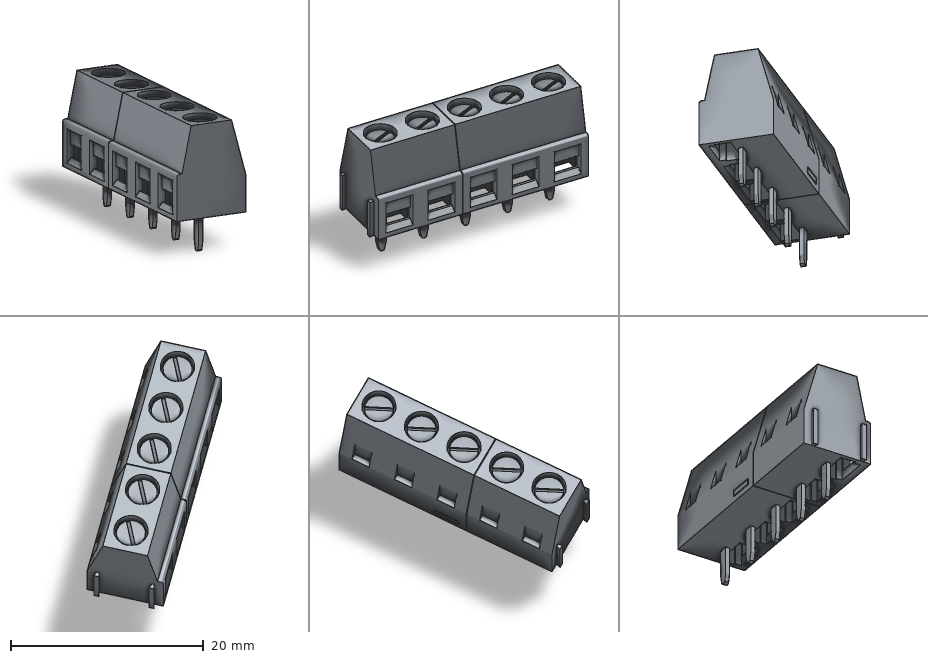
import cadquery as cq


pitch = 5.0
small_block_poles = 2
large_block_poles = 3
joint_gap = 0.08

depth = 8.13
height = 10.1
ledge_height = 5.05
ledge_depth = 0.6
ledge_radius = 0.3
top_front_y = 1.68
top_rear_y = 6.45
rear_slope_start = 4.0

window_width = 3.15
window_bottom = 0.54
window_top = 4.23
window_recess = 0.43
sill_chamfer = 0.54
sill_height = window_bottom + sill_chamfer
sill_depth = 0.85

chamber_height = 2.55
chamber_entry_width = 3.57
chamber_entry_end = 1.53
chamber_width = 4.0
chamber_end = 3.32

screw_y = (top_front_y + top_rear_y) / 2
well_radius = 1.75
well_depth = 1.53
screw_radius = 1.5
screw_drop = 0.6
screw_slot_width = 0.35
screw_slot_depth = 0.25
screw_slot_angle = 25

notch_width = 2.01
notch_depth = 0.65

rib_reach = 0.5
rib_tip_width = 0.54
rib_root_width = 0.28
rib_height = window_top
rib_centres_y = [1.12, 7.0]

pad_width = 2.83
pad_height = 0.66
pad_thickness = 0.08
pad_offset = 0.08
pad_centre_z = 1.0

pin_width = 1.0
pin_thickness = 0.48
pin_y = 3.9
pin_length = 4.2
pin_taper_start = 3.1
pin_tip_start = 4.03
pin_tip_width = 0.59


def pole_centre(pole):
    return (pole + 0.5) * pitch


def box(x_centre, width, y_start, y_end, z_start, z_end):
    return (
        cq.Workplane("XY")
        .box(width, y_end - y_start, z_end - z_start, centered=(True, False, False))
        .translate((x_centre, y_start, z_start))
    )


def housing_body(x_start, x_end):
    return (
        cq.Workplane("YZ", origin=(x_start, 0, 0))
        .lineTo(depth, 0)
        .lineTo(depth, rear_slope_start)
        .lineTo(top_rear_y, height)
        .lineTo(top_front_y, height)
        .lineTo(ledge_depth, ledge_height)
        .lineTo(ledge_radius, ledge_height)
        .radiusArc((0, ledge_height - ledge_radius), -ledge_radius)
        .close()
        .extrude(x_end - x_start)
    )


def wire_entry(x):
    passage = (
        cq.Workplane("YZ", origin=(x - window_width / 2, 0, 0))
        .moveTo(0, window_bottom)
        .lineTo(sill_chamfer, sill_height)
        .lineTo(sill_depth, sill_height)
        .lineTo(sill_depth, chamber_height)
        .lineTo(window_recess, chamber_height)
        .lineTo(window_recess, window_top)
        .lineTo(0, window_top)
        .close()
        .extrude(window_width)
    )
    chamber_entry = box(x, chamber_entry_width, sill_depth, chamber_entry_end, 0, chamber_height)
    chamber = box(x, chamber_width, chamber_entry_end, chamber_end, 0, chamber_height)
    return passage.union(chamber_entry).union(chamber)


def screw_well(x):
    floor = height - well_depth
    head_height = well_depth - screw_drop
    well = cq.Workplane("XY", origin=(x, screw_y, floor)).circle(well_radius).extrude(well_depth)
    head = cq.Workplane("XY", origin=(x, screw_y, floor)).circle(screw_radius).extrude(head_height)
    slot = (
        cq.Workplane("XY")
        .box(2 * well_radius, screw_slot_width, screw_slot_depth, centered=(True, True, False))
        .rotate((0, 0, 0), (0, 0, 1), screw_slot_angle)
        .translate((x, screw_y, floor + head_height - screw_slot_depth))
    )
    return well.cut(head.cut(slot))


def rear_notch(x):
    return box(x, notch_width, depth - notch_depth, depth, rear_slope_start, height)


def dovetail_rib(x_face, y):
    return (
        cq.Workplane("XY")
        .polyline(
            [
                (x_face, y - rib_root_width / 2),
                (x_face, y + rib_root_width / 2),
                (x_face - rib_reach, y + rib_tip_width / 2),
                (x_face - rib_reach, y - rib_tip_width / 2),
            ]
        )
        .close()
        .extrude(rib_height)
    )


def make_housing(x_start, x_end, poles):
    housing = housing_body(x_start, x_end)
    for pole in poles:
        x = pole_centre(pole)
        housing = housing.cut(wire_entry(x)).cut(screw_well(x)).cut(rear_notch(x))
    return housing


def make_pin(x):
    half_width = pin_width / 2
    half_tip = pin_tip_width / 2
    return (
        cq.Workplane("XZ", origin=(x, pin_y + pin_thickness / 2, 0))
        .moveTo(-half_width, 0)
        .lineTo(-half_width, -pin_taper_start)
        .lineTo(-half_tip, -pin_tip_start)
        .threePointArc((0, -pin_length), (half_tip, -pin_tip_start))
        .lineTo(half_width, -pin_taper_start)
        .lineTo(half_width, 0)
        .close()
        .extrude(pin_thickness)
    )


pole_count = small_block_poles + large_block_poles
joint_x = small_block_poles * pitch

two_pole_housing = make_housing(0, joint_x, range(small_block_poles))
for rib_y in rib_centres_y:
    two_pole_housing = two_pole_housing.union(dovetail_rib(0, rib_y))

three_pole_housing = make_housing(joint_x + joint_gap, pole_count * pitch, range(small_block_poles, pole_count))
pad = box(
    pole_centre(small_block_poles) - pad_offset,
    pad_width,
    depth,
    depth + pad_thickness,
    pad_centre_z - pad_height / 2,
    pad_centre_z + pad_height / 2,
)
three_pole_housing = three_pole_housing.union(pad)

pins = [make_pin(pole_centre(pole)) for pole in range(pole_count)]

result = cq.Compound.makeCompound(
    [two_pole_housing.val(), three_pole_housing.val(), *[pin.val() for pin in pins]]
)